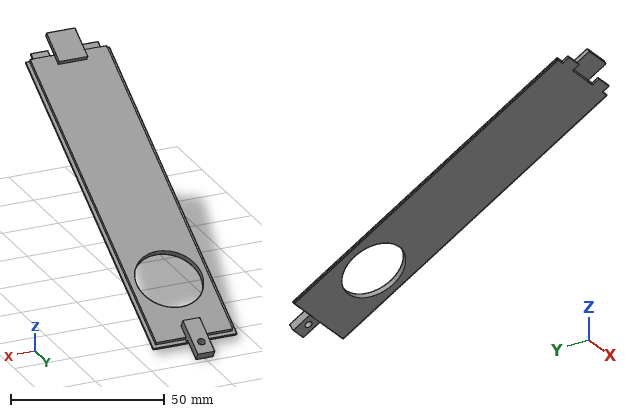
import cadquery as cq

tilt_angle = 30.4

plate_width = 29.8
plate_length = 119.0
plate_thickness = 2.0
rim_thickness = 0.8
rim_ledge = 1.3
panel_width = plate_width - 2 * rim_ledge
panel_length = plate_length - rim_ledge
block_end_y = plate_length / 2
clip_end_y = -plate_length / 2

taper_rise = 0.07
chamfer_width = 0.41
chamfer_rise = 0.18

window_diameter = 23.0
window_y = block_end_y - 24.9

overhang = 8.0
block_width = 6.0
block_length = 14.0
block_thickness = 3.0
pin_hole_diameter = 2.5
pin_hole_inset = 4.6
block_outer_y = block_end_y + overhang
clip_width = 10.1
clip_length = 11.9
clip_thickness = 1.5
clip_outer_y = clip_end_y - overhang

tongue_width = 6.0
tongue_length = 3.0
tongue_thickness = rim_thickness
tongue_offset = 9.0


def slab(width, y_min, length, z_min, thickness, x_center=0):
    """Rectangular slab centred on x_center, starting at y_min and z_min."""
    corner = (x_center - width / 2, y_min, z_min)
    return cq.Workplane("XY").box(width, length, thickness, centered=False).translate(corner)


def through_hole(diameter, y, height):
    """Vertical cutter on the centreline, from the plate underside up to height."""
    return cq.Workplane("XY").center(0, y).circle(diameter / 2).extrude(height)


def make_plate():
    rim = (
        cq.Workplane("XZ", origin=(0, block_end_y, 0))
        .moveTo(0, 0)
        .lineTo(panel_width / 2, 0)
        .lineTo(plate_width / 2 - chamfer_width, taper_rise)
        .lineTo(plate_width / 2, taper_rise + chamfer_rise)
        .lineTo(plate_width / 2, rim_thickness)
        .lineTo(0, rim_thickness)
        .mirrorY()
        .extrude(plate_length)
    )
    panel = slab(panel_width, clip_end_y, panel_length, 0, plate_thickness)
    return rim.union(panel).cut(through_hole(window_diameter, window_y, plate_thickness))


def make_block():
    block = slab(block_width, block_outer_y - block_length, block_length, plate_thickness, block_thickness)
    neck_height = plate_thickness - rim_thickness
    neck = slab(block_width, block_end_y - rim_ledge, rim_ledge, rim_thickness, neck_height)
    block = block.union(neck)
    block_top = plate_thickness + block_thickness
    return block.cut(through_hole(pin_hole_diameter, block_outer_y - pin_hole_inset, block_top))


def make_clip():
    return slab(clip_width, clip_outer_y, clip_length, plate_thickness, clip_thickness)


def make_tongue(x_center):
    return slab(
        tongue_width, clip_end_y - tongue_length, 2 * tongue_length, 0, tongue_thickness, x_center
    )


flat_part = make_plate().union(make_block()).union(make_clip())
for side in (-1, 1):
    flat_part = flat_part.union(make_tongue(side * tongue_offset))

result = flat_part.rotate((0, 0, 0), (1, 0, 0), -tilt_angle)